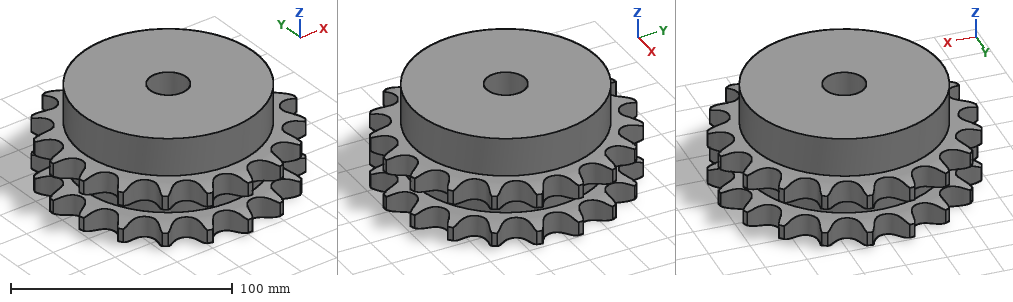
import cadquery as cq
import math


TOOTH_COUNT = 19
PITCH_DIAMETER = 115.8
ROLLER_DIAMETER = 12.0
TIP_DIAMETER = 124.2

PLATE_WIDTH = 10.8
PLATE_SPACING = 19.5
TIP_WIDTH = 7.0
ROUNDING_START_DIAMETER = 106.9

HUB_DIAMETER = 95.0
BORE_DIAMETER = 20.0
TOTAL_HEIGHT = 50.0

SEAT_RADIUS = 0.5055 * ROLLER_DIAMETER
FLANK_RADIUS = 1.3055 * ROLLER_DIAMETER
FLANK_CENTER_DISTANCE = 0.8 * ROLLER_DIAMETER
TIP_CENTER_DISTANCE = 1.4 * ROLLER_DIAMETER

HALF_TOOTH_ANGLE = 180 / TOOTH_COUNT
SEAT_ANGLE = 35 + 60 / TOOTH_COUNT
FLANK_ANGLE = 18 - 56 / TOOTH_COUNT
TIP_END_ANGLE = HALF_TOOTH_ANGLE + 35

CUT_CLEARANCE = 6.2


def polar(center, radius, degrees):
    """Point at the given distance and direction from a center."""
    angle = math.radians(degrees)
    return (center[0] + radius * math.cos(angle), center[1] + radius * math.sin(angle))


def mirrored(point):
    return (-point[0], point[1])


def make_plate(bottom):
    """Round plate whose rim is curved on both faces towards a narrower tip."""
    tip_radius = TIP_DIAMETER / 2
    start_radius = ROUNDING_START_DIAMETER / 2
    top = bottom + PLATE_WIDTH
    inset = (PLATE_WIDTH - TIP_WIDTH) / 2
    return (
        cq.Workplane("XZ")
        .moveTo(0, bottom)
        .lineTo(start_radius, bottom)
        .tangentArcPoint((tip_radius, bottom + inset), relative=False)
        .lineTo(tip_radius, top - inset)
        .threePointArc(rounding_midpoint(top, inset), (start_radius, top))
        .lineTo(0, top)
        .close()
        .revolve(360, (0, 0), (0, 1))
    )


def rounding_midpoint(top, inset):
    """Middle of the rim curve that is tangent to the plate's upper face."""
    start_radius = ROUNDING_START_DIAMETER / 2
    reach = TIP_DIAMETER / 2 - start_radius
    curve_radius = (reach**2 + inset**2) / (2 * inset)
    half_sweep = math.degrees(math.asin(reach / curve_radius)) / 2
    return polar((start_radius, top - curve_radius), curve_radius, 90 - half_sweep)


def make_tooth_gap():
    """Cutter for the gap centered on +Y: roller seat, hollow flanks and rounded tooth tips."""
    seat_center = (0, PITCH_DIAMETER / 2)
    seat_bottom = polar(seat_center, SEAT_RADIUS, -90)
    seat_end = polar(seat_center, SEAT_RADIUS, 180 + SEAT_ANGLE)

    flank_center = polar(seat_center, FLANK_CENTER_DISTANCE, SEAT_ANGLE)
    flank_middle = polar(flank_center, FLANK_RADIUS, 180 + SEAT_ANGLE - FLANK_ANGLE / 2)
    flank_end = polar(flank_center, FLANK_RADIUS, 180 + SEAT_ANGLE - FLANK_ANGLE)

    straight_normal = SEAT_ANGLE - FLANK_ANGLE
    tip_center = polar(seat_center, TIP_CENTER_DISTANCE, 180 + HALF_TOOTH_ANGLE)
    normal_x, normal_y = polar((0, 0), 1, straight_normal)
    tip_curve_radius = (
        (flank_end[0] - tip_center[0]) * normal_x + (flank_end[1] - tip_center[1]) * normal_y
    )
    tip_start = polar(tip_center, tip_curve_radius, straight_normal)
    tip_middle = polar(tip_center, tip_curve_radius, (straight_normal + TIP_END_ANGLE) / 2)
    tip_end = polar(tip_center, tip_curve_radius, TIP_END_ANGLE)

    return (
        cq.Workplane("XY")
        .moveTo(*tip_end)
        .threePointArc(tip_middle, tip_start)
        .lineTo(*flank_end)
        .threePointArc(flank_middle, seat_end)
        .threePointArc(seat_bottom, mirrored(seat_end))
        .threePointArc(mirrored(flank_middle), mirrored(flank_end))
        .lineTo(*mirrored(tip_start))
        .threePointArc(mirrored(tip_middle), mirrored(tip_end))
        .lineTo(0, TIP_DIAMETER / 2 + CUT_CLEARANCE)
        .close()
        .extrude(PLATE_SPACING + PLATE_WIDTH)
    )


sprocket = make_plate(0).union(make_plate(PLATE_SPACING))

tooth_gap = make_tooth_gap()
for index in range(TOOTH_COUNT):
    gap_angle = index * 360 / TOOTH_COUNT
    sprocket = sprocket.cut(tooth_gap.rotate((0, 0, 0), (0, 0, 1), gap_angle))

hub = cq.Workplane("XY").circle(HUB_DIAMETER / 2).extrude(TOTAL_HEIGHT)
bore = cq.Workplane("XY").circle(BORE_DIAMETER / 2).extrude(TOTAL_HEIGHT)
result = sprocket.union(hub).cut(bore)